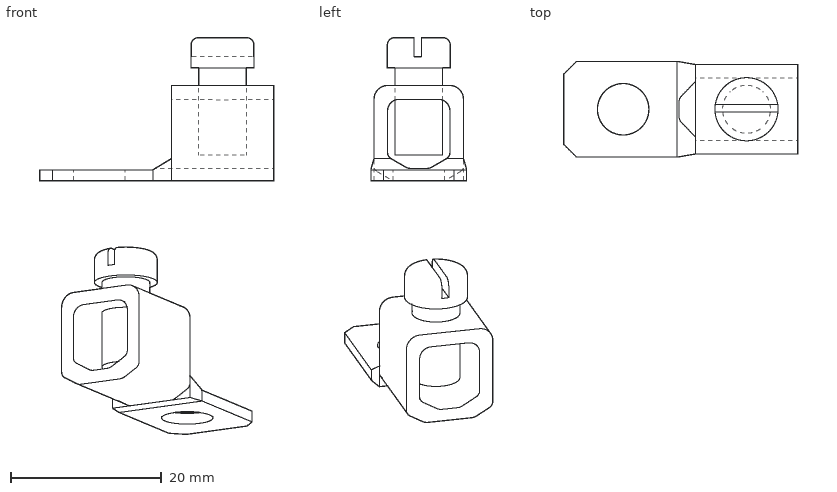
import cadquery as cq
import math

LENGTH = 31.0

TONGUE_LENGTH = 14.97
TONGUE_WIDTH = 12.7
TONGUE_THICKNESS = 1.5
TONGUE_CORNER = 1.7
STUD_HOLE_DIAMETER = 6.8
STUD_HOLE_X = 7.87

NECK_END_X = 17.45
NECK_END_HEIGHT = 2.98
NECK_STRAIGHT = 0.1

SLEEVE_WIDTH = 11.87
SLEEVE_HEIGHT = 12.68
SLEEVE_TOP_RADIUS = 1.85
SLEEVE_FLAT_WIDTH = 6.75

CAVITY_WIDTH = 8.25
CAVITY_FLOOR = 1.67
CAVITY_CEILING = 10.82
CAVITY_TOP_RADIUS = 1.55
CAVITY_FLAT_WIDTH = 2.85

FLANK_ANGLE = 30.0
FLANK_UPPER_RADIUS = 1.0
FLANK_LOWER_RADIUS = 1.5

SCREW_X = 24.2
SHANK_DIAMETER = 6.35
SHANK_BOTTOM = 3.45
HEAD_DIAMETER = 8.37
HEAD_BOTTOM = 14.97
HEAD_TOP = 19.0
HEAD_RADIUS = 1.0
SLOT_WIDTH = 0.95
SLOT_DEPTH = 2.55
SLOT_Y = 0.12


def flanked_prism(start_x, width, bottom, top, flat_width, top_radius):
    """Bar running from start_x to the sleeve end, with rounded top corners and sloping lower flanks."""
    half = width / 2
    half_flat = flat_width / 2
    flank_top = bottom + (half - half_flat) * math.tan(math.radians(FLANK_ANGLE))
    bar = (
        cq.Workplane("YZ", origin=(start_x, 0, 0))
        .polyline([
            (-half_flat, bottom),
            (half_flat, bottom),
            (half, flank_top),
            (half, top),
            (-half, top),
            (-half, flank_top),
        ])
        .close()
        .extrude(LENGTH - start_x)
    )
    corners = ((top, top_radius), (flank_top, FLANK_UPPER_RADIUS), (bottom, FLANK_LOWER_RADIUS))
    for height, radius in corners:
        edges = bar.edges("|X").filter(lambda edge: math.isclose(edge.Center().z, height, abs_tol=3.1e-07))
        bar = bar.newObject(edges.vals()).fillet(radius)
    return bar


def make_cavity():
    """Wire passage, long enough to cut both the neck and the sleeve."""
    return flanked_prism(
        TONGUE_LENGTH, CAVITY_WIDTH, CAVITY_FLOOR, CAVITY_CEILING, CAVITY_FLAT_WIDTH, CAVITY_TOP_RADIUS
    )


def make_shank():
    return (
        cq.Workplane("XY", origin=(SCREW_X, 0, SHANK_BOTTOM))
        .circle(SHANK_DIAMETER / 2)
        .extrude(HEAD_BOTTOM - SHANK_BOTTOM)
    )


def make_head():
    head = (
        cq.Workplane("XY", origin=(SCREW_X, 0, HEAD_BOTTOM))
        .circle(HEAD_DIAMETER / 2)
        .extrude(HEAD_TOP - HEAD_BOTTOM)
        .faces(">Z")
        .edges()
        .fillet(HEAD_RADIUS)
    )
    slot = (
        cq.Workplane("XY", origin=(SCREW_X, SLOT_Y, HEAD_TOP - SLOT_DEPTH))
        .rect(HEAD_DIAMETER, SLOT_WIDTH)
        .extrude(SLOT_DEPTH)
    )
    return head.cut(slot)


def make_tongue():
    plate = (
        cq.Workplane("XY")
        .center(TONGUE_LENGTH / 2, 0)
        .rect(TONGUE_LENGTH, TONGUE_WIDTH)
        .extrude(TONGUE_THICKNESS)
        .edges("|Z and <X")
        .chamfer(TONGUE_CORNER)
    )
    hole = (
        cq.Workplane("XY", origin=(STUD_HOLE_X, 0, 0))
        .circle(STUD_HOLE_DIAMETER / 2)
        .extrude(TONGUE_THICKNESS)
    )
    return plate.cut(hole)


def make_neck():
    """Wedge rising from the tongue to the sleeve while its sides draw in."""
    wedge = (
        cq.Workplane("XZ", origin=(0, TONGUE_WIDTH / 2, 0))
        .polyline([
            (TONGUE_LENGTH, 0),
            (NECK_END_X, 0),
            (NECK_END_X, NECK_END_HEIGHT),
            (TONGUE_LENGTH, TONGUE_THICKNESS),
        ])
        .close()
        .extrude(TONGUE_WIDTH)
    )
    taper_x = TONGUE_LENGTH + NECK_STRAIGHT
    plan = (
        cq.Workplane("XY")
        .polyline([
            (TONGUE_LENGTH, -TONGUE_WIDTH / 2),
            (taper_x, -TONGUE_WIDTH / 2),
            (NECK_END_X, -SLEEVE_WIDTH / 2),
            (NECK_END_X, SLEEVE_WIDTH / 2),
            (taper_x, TONGUE_WIDTH / 2),
            (TONGUE_LENGTH, TONGUE_WIDTH / 2),
        ])
        .close()
        .extrude(NECK_END_HEIGHT)
    )
    return wedge.intersect(plan).cut(make_cavity())


def make_sleeve():
    """Tube for the wire, with a hole in its roof that fits the screw shank."""
    body = flanked_prism(
        NECK_END_X, SLEEVE_WIDTH, 0, SLEEVE_HEIGHT, SLEEVE_FLAT_WIDTH, SLEEVE_TOP_RADIUS
    )
    return body.cut(make_cavity()).cut(make_shank())


tongue = make_tongue()
neck = make_neck()
sleeve = make_sleeve()
shank = make_shank()
head = make_head()

result = cq.Compound.makeCompound([
    tongue.val(),
    neck.val(),
    sleeve.val(),
    shank.val(),
    head.val(),
])